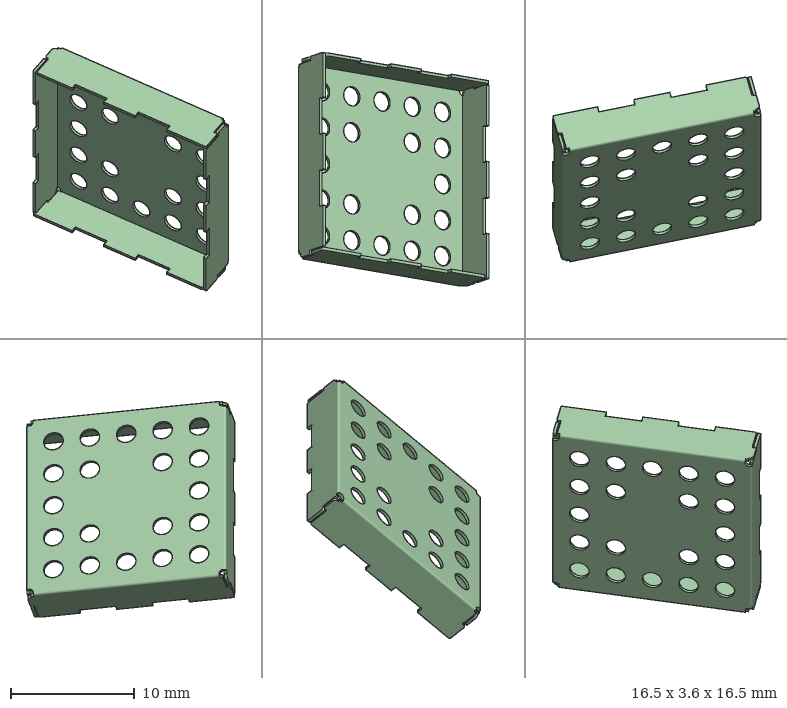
import cadquery as cq


side = 16.5
depth = 3.6
thickness = 0.25
bend_radius = 0.2

half_side = side / 2
back_y = depth / 2

joint_gap = 0.1
setback = thickness + joint_gap
tab_back = 0.4
tab_back_radius = setback
tab_front = 1.72
corner_radius = 0.15
root_radius = 0.13
shoulder_radius = 0.2
shoulder = tab_front + joint_gap

relief_side = 0.58
relief_radius = 0.33

notch_width = 3.0
notch_depth = 0.5
notch_spacing = 6.0

hole_diameter = 1.6
hole_pitch = 3.0
grid_reach = 2
cross_reach = 1


def rotate_to_wall(solid, index):
    """Turn a feature of the +Z wall to another wall, in quarter turns about Y."""
    return solid.rotate((0, 0, 0), (0, 1, 0), 90 * index)


def make_plate():
    plate = cq.Workplane("XY").box(side, thickness, side)
    return plate.translate((0, back_y - thickness / 2, 0))


def make_wall():
    """+Z wall: rear tab at the -X end, wide front part at the +X end."""
    full_left = -half_side
    full_right = half_side
    short_left = full_left + setback
    short_right = full_right - setback
    front_y = -back_y
    tab_back_y = back_y - tab_back
    tab_front_y = back_y - tab_front
    shoulder_y = back_y - shoulder

    outline = (
        cq.Workplane("XY", origin=(0, 0, half_side - thickness))
        .moveTo(short_left, back_y)
        .lineTo(short_left, tab_back_y)
        .radiusArc((full_left, tab_back_y - tab_back_radius), -tab_back_radius)
        .lineTo(full_left, tab_front_y + corner_radius)
        .radiusArc((full_left + corner_radius, tab_front_y), -corner_radius)
        .lineTo(short_left - root_radius, tab_front_y)
        .radiusArc((short_left, tab_front_y - root_radius), root_radius)
        .lineTo(short_left, front_y + corner_radius)
        .radiusArc((short_left + corner_radius, front_y), -corner_radius)
        .lineTo(full_right - corner_radius, front_y)
        .radiusArc((full_right, front_y + corner_radius), -corner_radius)
        .lineTo(full_right, shoulder_y - shoulder_radius)
        .radiusArc((full_right - shoulder_radius, shoulder_y), -shoulder_radius)
        .lineTo(short_right, shoulder_y)
        .lineTo(short_right, back_y)
        .close()
    )
    wall = outline.extrude(thickness)

    notches = (
        cq.Workplane("XY")
        .pushPoints([(-notch_spacing / 2, front_y), (notch_spacing / 2, front_y)])
        .rect(notch_width, 2 * notch_depth)
        .extrude(side)
    )
    return wall.cut(notches)


def make_corner_relief():
    """Rounded square opening at the -X, +Z corner of the back plate."""
    cutter = cq.Workplane("XY").box(2 * relief_side, thickness, 2 * relief_side)
    cutter = cutter.edges("|Y").fillet(relief_radius)
    return cutter.translate((-half_side, back_y - thickness / 2, half_side))


def make_vent_holes():
    steps = range(-grid_reach, grid_reach + 1)
    centres = [
        (column * hole_pitch, row * hole_pitch)
        for column in steps
        for row in steps
        if abs(column) + abs(row) > cross_reach
    ]
    return (
        cq.Workplane("XZ")
        .pushPoints(centres)
        .circle(hole_diameter / 2)
        .extrude(depth, both=True)
    )


def make_bend_envelope():
    """Outer block whose rounded back edges shape the four bends."""
    return cq.Workplane("XY").box(side, depth, side).edges(">Y").fillet(bend_radius)


wall = make_wall()
corner_relief = make_corner_relief()

cover = make_plate()
for quarter in range(4):
    cover = cover.union(rotate_to_wall(wall, quarter))
for quarter in range(4):
    cover = cover.cut(rotate_to_wall(corner_relief, quarter))
cover = cover.intersect(make_bend_envelope())

result = cover.cut(make_vent_holes())